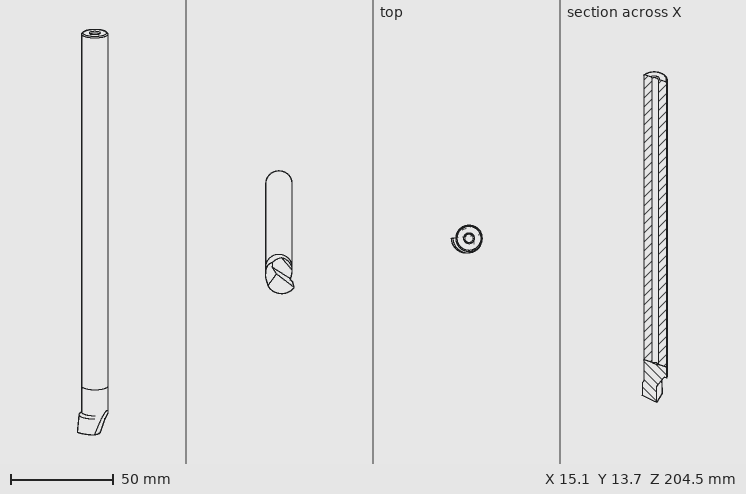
import cadquery as cq

total_length = 204.5
overall_width = 15.1
overall_depth = 13.7
bar_diameter = 12.9
bar_radius = bar_diameter / 2
joint_height = 24.1

end_chamfer = 0.6
bore_diameter = 4.0
bore_mouth_width = 0.6

flare_start = 10.8
flare_end = 9.5
tip_x = bar_radius - overall_width
collar_radius = 7.2
collar_center = -0.6
nose_radius = overall_depth - bar_radius
nose_center = tip_x + nose_radius

back_relief_height = 12.5
back_relief_bottom_x = 2.2
rake_rise = 0.12
end_relief_slope = 0.17
pocket_top = 17.4
run_out_axis_height = 7.8
pocket_slope_y = 1.8
pocket_slope_x = -0.65
cutter_size = 61.3


def half_space(point, outward):
    """Large block on the outward side of a plane through the point."""
    plane = cq.Plane(origin=point, normal=outward)
    return cq.Workplane(plane).rect(cutter_size, cutter_size).extrude(cutter_size)


def round_loft(low_z, low_x, low_radius, high_z, high_x, high_radius):
    """Round transition between two circles at different heights."""
    return (
        cq.Workplane("XY", origin=(0, 0, low_z))
        .center(low_x, 0)
        .circle(low_radius)
        .workplane(offset=high_z - low_z)
        .center(high_x - low_x, 0)
        .circle(high_radius)
        .loft(ruled=True)
    )


def make_shank():
    shank = (
        cq.Workplane("XY", origin=(0, 0, joint_height))
        .circle(bar_radius)
        .extrude(total_length - joint_height)
        .faces(">Z")
        .chamfer(end_chamfer)
    )
    bore = (
        cq.Workplane("XY", origin=(0, 0, joint_height))
        .circle(bore_diameter / 2)
        .extrude(total_length - joint_height)
    )
    mouth_radius = bore_diameter / 2 + bore_mouth_width
    mouth = round_loft(
        total_length - bore_mouth_width, 0, bore_diameter / 2, total_length, 0, mouth_radius
    )
    return shank.cut(bore).cut(mouth)


def make_head():
    neck = (
        cq.Workplane("XY", origin=(0, 0, flare_start))
        .circle(bar_radius)
        .extrude(joint_height - flare_start)
    )
    flare = round_loft(flare_end, collar_center, collar_radius, flare_start, 0, bar_radius)
    nose = round_loft(0, nose_center, nose_radius, flare_end, collar_center, collar_radius)
    head = neck.union(flare).union(nose)

    relief_run = bar_radius - back_relief_bottom_x
    back_relief = half_space(
        (bar_radius, 0, back_relief_height), (back_relief_height, 0, -relief_run)
    )

    rake_side = half_space((tip_x, 0, 0), (-rake_rise, 1, 0))
    run_out = half_space(
        (0, 0, run_out_axis_height), (pocket_slope_x, pocket_slope_y, -1)
    )
    below_ledge = half_space((0, 0, pocket_top), (0, 0, -1))
    chip_pocket = rake_side.intersect(run_out).intersect(below_ledge)

    end_relief = half_space((0, 0, 0), (0, -end_relief_slope, -1))
    return head.cut(back_relief).cut(chip_pocket).cut(end_relief)


shank = make_shank()
head = make_head()
result = cq.Compound.makeCompound([shank.val(), head.val()])